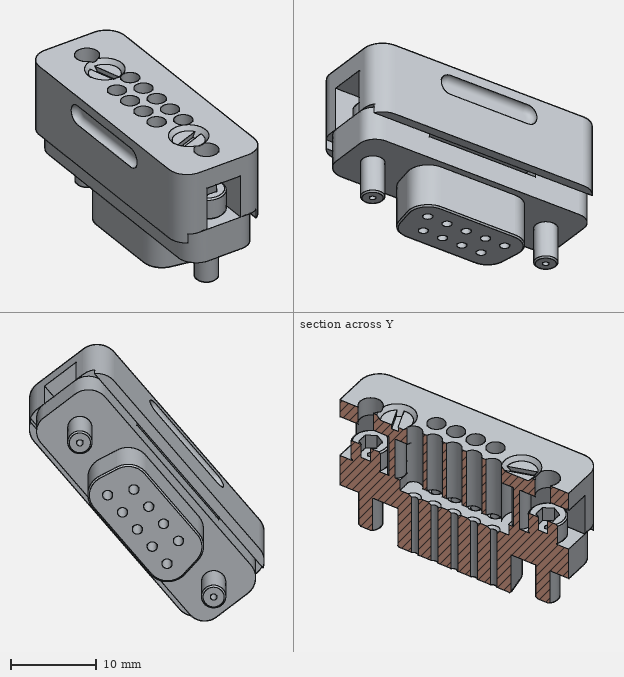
import cadquery as cq
import math

LENGTH = 32.13
END_X = LENGTH / 2

COVER_WIDTH = 12.05
COVER_CORNER_RADIUS = 2.57
COVER_BOTTOM_Z = 3.2
COVER_TOP_Z = 12.72
CHANNEL_WIDTH = 9.65

BASE_WIDTH = 9.45
BASE_TOP_Z = 4.45
BASE_FRONT_RADIUS = 2.55
BASE_BACK_RADIUS = 2.2
BASE_RECESS_LENGTH = 15.23
BASE_RECESS_FLOOR_Z = 2.9

PLUG_BOTTOM_Z = -5.7
PLUG_WIDTH = 7.65
PLUG_CORNER_RADIUS = 2.67
PLUG_CORNER_X = 5.3
PLUG_SIDE_ANGLE = 10.0

EDGE_CHAMFER = 0.2

JACK_X = 12.45
JACK_ACCESS_DIAMETER = 2.95
JACK_PIN_DIAMETER = 2.85
JACK_PIN_BOTTOM_Z = -4.9
JACK_HEAD_DIAMETER = 4.65
JACK_HEAD_TOP_Z = 7.35
JACK_BORE_DIAMETER = 0.77
HEX_SIDES = 6
HEX_ACROSS_FLATS = 2.4
HEX_DEPTH = 1.93
WINDOW_WIDTH = 4.75
WINDOW_TOP_Z = 10.15

COVER_SCREW_X = 8.75
COVER_SCREW_SHAFT_DIAMETER = 2.25
SINK_TOP_DIAMETER = 4.75
SINK_FLOOR_DIAMETER = 3.85
SINK_DEPTH = 0.58
SLOT_FLOOR_DIAMETER = 2.95
SLOT_WIDTH = 0.85
LEFT_SLOT_ANGLE = 16.5
RIGHT_SLOT_ANGLE = -69.0

BACK_ROW_COUNT = 5
FRONT_ROW_COUNT = 4
CONTACT_PITCH = 2.75
CONTACT_ROW_Y = 1.4
COVER_CONTACT_DIAMETER = 2.25
CONTACT_FUNNEL_DIAMETER = 1.93
CONTACT_FUNNEL_DEPTH = 0.3
CONTACT_BORE_DIAMETER = 1.2

GRIP_LENGTH = 13.72
GRIP_HEIGHT = 2.65
GRIP_Z = 10.15
GRIP_FILLET = 0.87
GRIP_DEPTH = 0.9


def block(x_size, y_size, z_low, z_high):
    """Box centred on the Z axis between two heights."""
    box = cq.Workplane("XY").box(x_size, y_size, z_high - z_low, centered=(True, True, False))
    return box.translate((0, 0, z_low))


def cylinder(diameter, z_low, z_high, x=0, y=0):
    """Upright cylinder between two heights."""
    disc = cq.Workplane("XY").workplane(offset=z_low).center(x, y).circle(diameter / 2)
    return disc.extrude(z_high - z_low)


def cone(top_diameter, bottom_diameter, z_top, depth, x, y):
    """Upright cone frustum, given from its top down."""
    solid = cq.Solid.makeCone(
        top_diameter / 2, bottom_diameter / 2, depth, pnt=cq.Vector(x, y, z_top), dir=cq.Vector(0, 0, -1)
    )
    return cq.Workplane(obj=solid)


def make_cover():
    cover = block(LENGTH, COVER_WIDTH, COVER_BOTTOM_Z, COVER_TOP_Z)
    cover = cover.edges("|Z").fillet(COVER_CORNER_RADIUS)
    cover = cover.cut(block(LENGTH, CHANNEL_WIDTH, COVER_BOTTOM_Z, BASE_TOP_Z))
    for side in (-1, 1):
        cover = cover.cut(make_end_window(side))
        cover = cover.cut(make_grip(side))
    return cover


def make_end_window(side):
    """Opening in a short end, rounded around the cover screw."""
    height = WINDOW_TOP_Z - BASE_TOP_Z
    straight = END_X - COVER_SCREW_X
    passage = cq.Workplane("XY").box(straight, WINDOW_WIDTH, height, centered=(True, True, False))
    passage = passage.translate((side * (COVER_SCREW_X + straight / 2), 0, BASE_TOP_Z))
    return passage.union(cylinder(WINDOW_WIDTH, BASE_TOP_Z, WINDOW_TOP_Z, x=side * COVER_SCREW_X))


def make_grip(side):
    """Cutter for an obround recess with a rounded floor edge; side is the sign of Y."""
    face_y = side * COVER_WIDTH / 2
    grip = cq.Workplane("XZ", origin=(0, face_y, GRIP_Z)).slot2D(GRIP_LENGTH, GRIP_HEIGHT)
    grip = grip.extrude(side * GRIP_DEPTH)
    floor = "<Y" if side > 0 else ">Y"
    return grip.faces(floor).edges().fillet(GRIP_FILLET)


def make_base():
    base = block(LENGTH, BASE_WIDTH, 0, BASE_TOP_Z)
    base = base.edges("|Z and <Y").fillet(BASE_FRONT_RADIUS)
    base = base.edges("|Z and >Y").fillet(BASE_BACK_RADIUS)
    return base.cut(block(BASE_RECESS_LENGTH, BASE_WIDTH, BASE_RECESS_FLOOR_Z, BASE_TOP_Z))


def make_plug():
    half_width = PLUG_WIDTH / 2
    angle = math.radians(PLUG_SIDE_ANGLE)
    corner_y = half_width - PLUG_CORNER_RADIUS
    middle_x = PLUG_CORNER_X + PLUG_CORNER_RADIUS / math.cos(angle) - corner_y * math.tan(angle)
    lean = half_width * math.tan(angle)
    back_x = middle_x + lean
    front_x = middle_x - lean
    outline = [(-back_x, half_width), (back_x, half_width), (front_x, -half_width), (-front_x, -half_width)]
    plug = cq.Workplane("XY").polyline(outline).close().extrude(PLUG_BOTTOM_Z)
    plug = plug.edges("|Z").fillet(PLUG_CORNER_RADIUS)
    return plug.faces("<Z").chamfer(EDGE_CHAMFER)


def make_jack_screw(x):
    pin = cylinder(JACK_PIN_DIAMETER, JACK_PIN_BOTTOM_Z, BASE_TOP_Z, x=x)
    pin = pin.faces("<Z").chamfer(EDGE_CHAMFER)
    head = cylinder(JACK_HEAD_DIAMETER, BASE_TOP_Z, JACK_HEAD_TOP_Z, x=x)
    head = head.faces("<Z or >Z").chamfer(EDGE_CHAMFER)
    return pin.union(head)


def make_jack_bores(x):
    """Access hole in the cover, hex socket in the head and bore along the screw."""
    access = cylinder(JACK_ACCESS_DIAMETER, WINDOW_TOP_Z, COVER_TOP_Z, x=x)
    bore = cylinder(JACK_BORE_DIAMETER, JACK_PIN_BOTTOM_Z, JACK_HEAD_TOP_Z, x=x)
    half_side_angle = 180 / HEX_SIDES
    across_corners = HEX_ACROSS_FLATS / math.cos(math.radians(half_side_angle))
    socket = cq.Workplane("XY").polygon(HEX_SIDES, across_corners).extrude(HEX_DEPTH)
    socket = socket.rotate((0, 0, 0), (0, 0, 1), half_side_angle)
    socket = socket.translate((x, 0, JACK_HEAD_TOP_Z - HEX_DEPTH))
    return access.union(bore).union(socket)


def make_screw_recess(x, slot_angle):
    """Countersink above a screw head, with the driver slot reaching further down the same cone."""
    slope = SINK_DEPTH / (SINK_TOP_DIAMETER - SINK_FLOOR_DIAMETER)
    slot_depth = slope * (SINK_TOP_DIAMETER - SLOT_FLOOR_DIAMETER)
    sink = cone(SINK_TOP_DIAMETER, SINK_FLOOR_DIAMETER, COVER_TOP_Z, SINK_DEPTH, x, 0)
    full_cone = cone(SINK_TOP_DIAMETER, SLOT_FLOOR_DIAMETER, COVER_TOP_Z, slot_depth, x, 0)
    slot = block(SINK_TOP_DIAMETER, SLOT_WIDTH, COVER_TOP_Z - slot_depth, COVER_TOP_Z)
    slot = slot.rotate((0, 0, 0), (0, 0, 1), slot_angle).translate((x, 0, 0))
    return sink.union(full_cone.intersect(slot))


def contact_positions():
    positions = []
    for count, y in ((BACK_ROW_COUNT, CONTACT_ROW_Y), (FRONT_ROW_COUNT, -CONTACT_ROW_Y)):
        for i in range(count):
            positions.append(((i - (count - 1) / 2) * CONTACT_PITCH, y))
    return positions


def make_contact_hole(x, y):
    """Cover hole, then a funnel and bore through the base and plug."""
    hole = cylinder(COVER_CONTACT_DIAMETER, BASE_TOP_Z, COVER_TOP_Z, x, y)
    funnel = cone(
        CONTACT_FUNNEL_DIAMETER, CONTACT_BORE_DIAMETER, BASE_RECESS_FLOOR_Z, CONTACT_FUNNEL_DEPTH, x, y
    )
    bore = cylinder(CONTACT_BORE_DIAMETER, PLUG_BOTTOM_Z, BASE_RECESS_FLOOR_Z, x, y)
    return hole.union(funnel).union(bore)


result = make_base().union(make_plug()).union(make_cover())

for screw_x in (-COVER_SCREW_X, COVER_SCREW_X):
    result = result.union(cylinder(COVER_SCREW_SHAFT_DIAMETER, BASE_RECESS_FLOOR_Z, WINDOW_TOP_Z, x=screw_x))

for jack_x in (-JACK_X, JACK_X):
    result = result.union(make_jack_screw(jack_x)).cut(make_jack_bores(jack_x))

result = result.cut(make_screw_recess(-COVER_SCREW_X, LEFT_SLOT_ANGLE))
result = result.cut(make_screw_recess(COVER_SCREW_X, RIGHT_SLOT_ANGLE))

for contact_x, contact_y in contact_positions():
    result = result.cut(make_contact_hole(contact_x, contact_y))